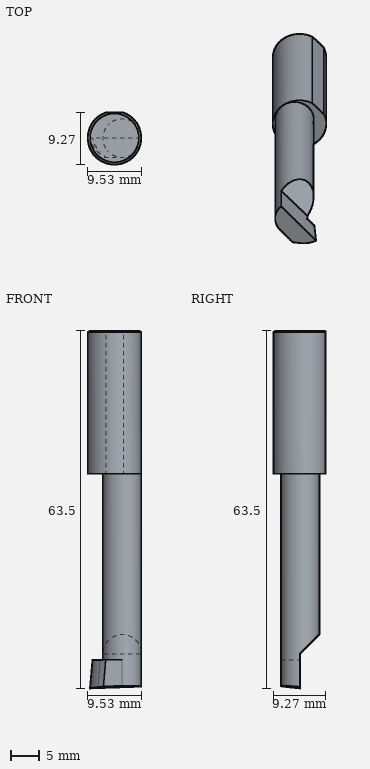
import cadquery as cq
import math

total_length = 63.5
head_top_z = 5.08

shank_diameter = 9.525
shank_length = 25.4
flat_y = 4.51
end_chamfer_width = 0.44
end_chamfer_height = 0.25

neck_diameter = 6.86
relief_end_z = 6.2
relief_angle = 45.0

side_clearance = 5.0
end_clearance_x = 2.0
end_clearance_y = 5.0
tip_x = -4.37
flank_end = (-2.57, -2.47)
heel_x = -1.55

shank_radius = shank_diameter / 2
neck_radius = neck_diameter / 2
neck_x = shank_radius - neck_radius
shank_bottom_z = total_length - shank_length
cutter_size = 4 * shank_diameter


def make_shank():
    """Round shank with a chamfered top edge and a full-length flat on its +Y side."""
    shank = (
        cq.Workplane("XY", origin=(0, 0, shank_bottom_z))
        .circle(shank_radius)
        .extrude(shank_length)
        .faces(">Z")
        .chamfer(end_chamfer_height, end_chamfer_width)
    )
    flat_side = (
        cq.Workplane("XY", origin=(0, flat_y, shank_bottom_z))
        .rect(shank_diameter, shank_diameter)
        .extrude(shank_length)
        .translate((0, shank_radius, 0))
    )
    return shank.cut(flat_side)


def make_neck():
    """Eccentric neck whose +Y half is removed near the tip, ending in a sloped run-out."""
    neck = cq.Workplane("XY", origin=(neck_x, 0, 0)).circle(neck_radius).extrude(shank_bottom_z)
    relief_depth = neck_diameter
    relief_rise = relief_depth * math.tan(math.radians(relief_angle))
    relief = (
        cq.Workplane("YZ")
        .polyline(
            [
                (0, 0),
                (relief_depth, 0),
                (relief_depth, relief_end_z + relief_rise),
                (0, relief_end_z),
            ]
        )
        .close()
        .extrude(shank_diameter, both=True)
    )
    return neck.cut(relief)


def make_head():
    """Cutting head: a curved flank and a straight heel, leaning towards -X at the tip."""
    lean = head_top_z * math.tan(math.radians(side_clearance))
    flank_start = (tip_x + lean, 0)
    heel = (heel_x, -neck_radius)
    profile = (
        cq.Workplane("XY", origin=(0, 0, head_top_z))
        .moveTo(neck_x + lean, 0)
        .lineTo(neck_x + lean, -neck_radius)
        .lineTo(*heel)
        .lineTo(*flank_end)
        .tangentArcPoint(flank_start, relative=False)
        .close()
        .wires()
        .val()
    )
    head = cq.Solid.extrudeLinear(profile, [], cq.Vector(-lean, 0, -head_top_z))
    neck_side = (
        cq.Workplane("XY", origin=(neck_x, 0, 0))
        .rect(neck_diameter, shank_diameter)
        .extrude(head_top_z)
        .translate((neck_radius, 0, 0))
    )
    return cq.Workplane(obj=head).cut(neck_side)


def make_end_relief():
    """Material below the sloped end face, which rises from the tip towards +X and -Y."""
    slope_x = math.tan(math.radians(end_clearance_x))
    slope_y = math.tan(math.radians(end_clearance_y))
    end_plane = cq.Plane(origin=(tip_x, 0, 0), xDir=(1, 0, slope_x), normal=(-slope_x, slope_y, 1))
    return cq.Workplane(end_plane).rect(cutter_size, cutter_size).extrude(-shank_diameter)


result = make_shank().union(make_neck()).union(make_head()).cut(make_end_relief())